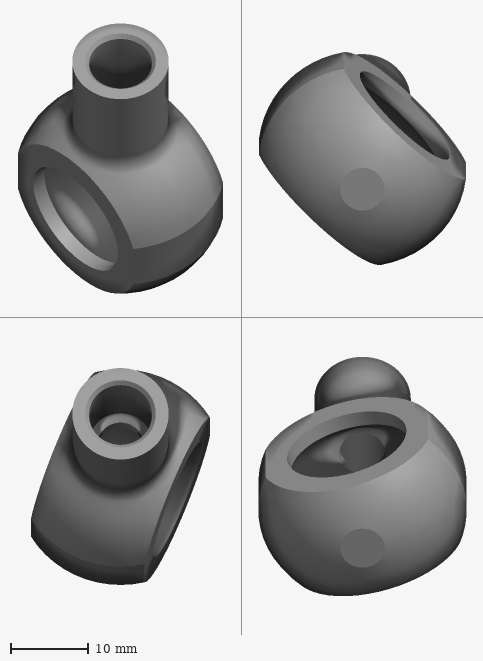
import cadquery as cq
import math

BALL_RADIUS = 14.0
BAND_RADIUS = 13.5
BOTTOM_Z = -13.7
HEAD_WIDTH = 16.0

NECK_RADIUS = 12.5 / 2
NECK_TOP_Z = 26.0
NECK_FILLET = 2.5

EYE_RADIUS = 16.0 / 2
GROOVE_RADIUS = 11.75
GROOVE_FLOOR_WIDTH = 4.0
GROOVE_CORNER = 4.0

SOCKET_RADIUS = 8.15 / 2
SOCKET_DEPTH = 12.0
SOCKET_CHAMFER = 0.5
PASSAGE_RADIUS = 6.0 / 2
CONE_HALF_ANGLE = 59.0


def make_body():
    """Ball, band, neck and neck fillet, revolved around Z."""
    band_half_height = math.sqrt(BALL_RADIUS**2 - BAND_RADIUS**2)
    bottom_radius = math.sqrt(BALL_RADIUS**2 - BOTTOM_Z**2)

    fillet_x = NECK_RADIUS + NECK_FILLET
    centre_distance = BALL_RADIUS + NECK_FILLET
    fillet_z = math.sqrt(centre_distance**2 - fillet_x**2)
    ball_share = BALL_RADIUS / centre_distance
    fillet_end = (fillet_x * ball_share, fillet_z * ball_share)

    profile = (
        cq.Workplane("XZ")
        .moveTo(0, BOTTOM_Z)
        .lineTo(bottom_radius, BOTTOM_Z)
        .radiusArc((BAND_RADIUS, -band_half_height), -BALL_RADIUS)
        .lineTo(BAND_RADIUS, band_half_height)
        .radiusArc(fillet_end, -BALL_RADIUS)
        .radiusArc((NECK_RADIUS, fillet_z), NECK_FILLET)
        .lineTo(NECK_RADIUS, NECK_TOP_Z)
        .lineTo(0, NECK_TOP_Z)
        .close()
    )
    body = profile.revolve(360, (0, 0, 0), (0, 1, 0))

    height = NECK_TOP_Z - BOTTOM_Z
    slab = (
        cq.Workplane("XY", origin=(0, 0, BOTTOM_Z))
        .rect(2 * BALL_RADIUS, HEAD_WIDTH)
        .extrude(height)
    )
    return body.intersect(slab)


def make_eye():
    """Eye bore with its wide round-cornered groove, revolved around Y."""
    face_y = HEAD_WIDTH / 2
    floor_y = GROOVE_FLOOR_WIDTH / 2
    corner_centre_radius = GROOVE_RADIUS - GROOVE_CORNER
    groove_y = floor_y + math.sqrt(GROOVE_CORNER**2 - (EYE_RADIUS - corner_centre_radius)**2)

    return (
        cq.Workplane("XY")
        .moveTo(0, -face_y)
        .lineTo(EYE_RADIUS, -face_y)
        .lineTo(EYE_RADIUS, -groove_y)
        .radiusArc((GROOVE_RADIUS, -floor_y), -GROOVE_CORNER)
        .lineTo(GROOVE_RADIUS, floor_y)
        .radiusArc((EYE_RADIUS, groove_y), -GROOVE_CORNER)
        .lineTo(EYE_RADIUS, face_y)
        .lineTo(0, face_y)
        .close()
        .revolve(360, (0, 0, 0), (0, 1, 0))
    )


def make_passage():
    """Chamfered socket, cone and narrow passage, revolved around Z."""
    socket_z = NECK_TOP_Z - SOCKET_DEPTH
    cone_height = (SOCKET_RADIUS - PASSAGE_RADIUS) / math.tan(math.radians(CONE_HALF_ANGLE))

    return (
        cq.Workplane("XZ")
        .moveTo(0, 0)
        .lineTo(PASSAGE_RADIUS, 0)
        .lineTo(PASSAGE_RADIUS, socket_z - cone_height)
        .lineTo(SOCKET_RADIUS, socket_z)
        .lineTo(SOCKET_RADIUS, NECK_TOP_Z - SOCKET_CHAMFER)
        .lineTo(SOCKET_RADIUS + SOCKET_CHAMFER, NECK_TOP_Z)
        .lineTo(0, NECK_TOP_Z)
        .close()
        .revolve(360, (0, 0, 0), (0, 1, 0))
    )


result = make_body().cut(make_eye()).cut(make_passage())